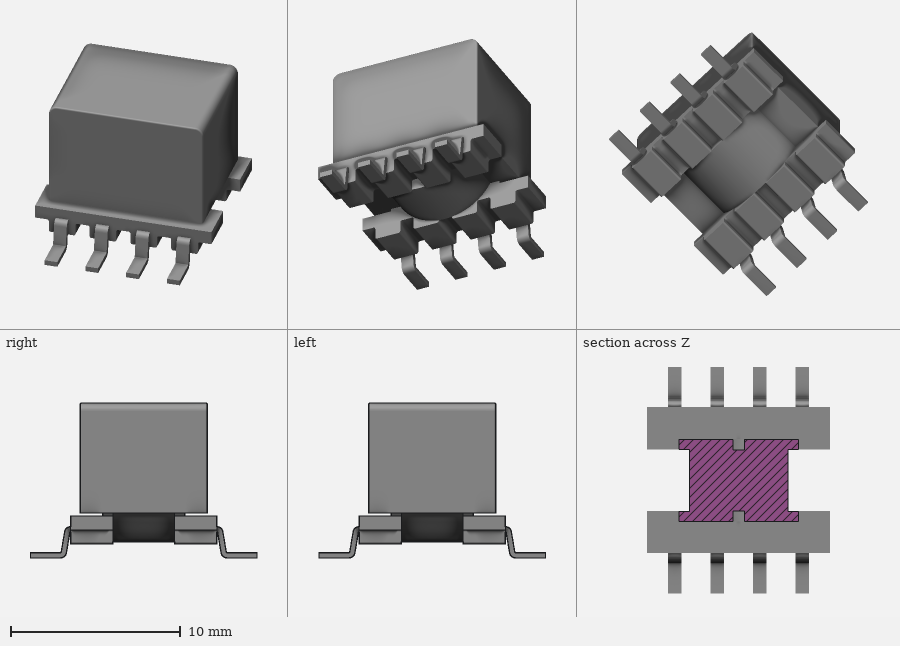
import cadquery as cq
import math

core_width = 9.45
core_depth = 7.5
core_bottom = 2.64
core_top = 9.14
core_end_radius = 0.5
core_edge_radius = 0.1

post_diameter = 3.4
bore_diameter = 3.5
winding_diameter = 6.78
axis_height = core_bottom + post_diameter / 2

rail_length = 10.8
rail_outer_y = 4.3
rail_inner_y = 1.82
rail_top = 2.48
rail_bottom = 1.65
plate_width = 7.05
plate_outer_y = 2.42

leads_per_side = 4
lead_pitch = 2.5
foot_width = 1.63
foot_bottom = 0.82
foot_radius = 0.12

lead_span = 13.35
lead_width = 0.78
lead_thickness = 0.32
lead_top = 1.85
lead_heel_y = 4.87
lead_inner_radius = 0.05
lead_lean = math.radians(9.5)
lead_embed = 0.5

lead_positions = [(i - (leads_per_side - 1) / 2) * lead_pitch for i in range(leads_per_side)]


def box_between(width, y_range, z_range):
    """Box centred on X between two Y and two Z limits."""
    depth = y_range[1] - y_range[0]
    height = z_range[1] - z_range[0]
    return (
        cq.Workplane("XY")
        .box(width, depth, height, centered=(True, False, False))
        .translate((0, y_range[0], z_range[0]))
    )


def cylinder_along_y(diameter, half_length):
    """Cylinder on the coil axis, centred on Y."""
    return (
        cq.Workplane("XZ", origin=(0, half_length, axis_height))
        .circle(diameter / 2)
        .extrude(2 * half_length)
    )


def make_core():
    core = box_between(core_width, (-core_depth / 2, core_depth / 2), (core_bottom, core_top))
    core = core.edges("|Y and >Z").fillet(core_end_radius)
    end_outlines = core.faces("<Y or >Y").edges("not <Z")
    return end_outlines.fillet(core_edge_radius)


def make_rail():
    """Terminal rail on the +Y side, with its feet and the end plate above it."""
    rail = box_between(rail_length, (rail_inner_y, rail_outer_y), (rail_bottom, rail_top))
    for x in lead_positions:
        foot = box_between(foot_width, (rail_inner_y, rail_outer_y), (foot_bottom, rail_bottom))
        rail = rail.union(foot.translate((x, 0, 0)))
    foot_corners = cq.selectors.BoxSelector(
        (-rail_length / 2 + foot_radius, rail_inner_y, foot_bottom - foot_radius),
        (rail_length / 2 - foot_radius, rail_outer_y, rail_bottom + foot_radius),
    )
    rail = rail.edges("|Y").edges(foot_corners).fillet(foot_radius)

    plate = box_between(plate_width, (rail_inner_y, plate_outer_y), (rail_top, core_bottom))
    bore = cylinder_along_y(bore_diameter, plate_outer_y)
    return rail.union(plate.cut(bore))


def make_lead():
    """Lead on the +Y side: level at the root and tip, leaning outward in between."""
    turn = math.pi / 2 - lead_lean
    miter = lead_thickness * math.tan(turn / 2)
    root_y = rail_outer_y - lead_embed
    tip_y = lead_span / 2

    heel_inner = (lead_heel_y, lead_thickness)
    heel_outer = (lead_heel_y - miter, 0)
    shoulder_z = lead_top - lead_thickness
    shoulder_y = heel_outer[0] - shoulder_z * math.tan(lead_lean)
    shoulder_inner = (shoulder_y, shoulder_z)
    shoulder_outer = (shoulder_y + miter, lead_top)

    outline = [
        (root_y, lead_top),
        shoulder_outer,
        heel_inner,
        (tip_y, lead_thickness),
        (tip_y, 0),
        heel_outer,
        shoulder_inner,
        (root_y, shoulder_z),
    ]
    lead = (
        cq.Workplane("YZ", origin=(-lead_width / 2, 0, 0))
        .polyline(outline)
        .close()
        .extrude(lead_width)
    )

    lead_outer_radius = lead_inner_radius + lead_thickness
    bends = [
        (shoulder_inner, lead_inner_radius),
        (shoulder_outer, lead_outer_radius),
        (heel_inner, lead_inner_radius),
        (heel_outer, lead_outer_radius),
    ]
    for (y, z), radius in bends:
        corner = cq.selectors.NearestToPointSelector((0, y, z))
        lead = lead.edges("|X").edges(corner).fillet(radius)
    return lead


def make_terminal_side():
    side = make_rail()
    lead = make_lead()
    for x in lead_positions:
        side = side.union(lead.translate((x, 0, 0)))
    return side


winding = cylinder_along_y(winding_diameter, rail_inner_y)
terminal_side = make_terminal_side()

result = make_core().union(winding).union(terminal_side).union(terminal_side.mirror("XZ"))